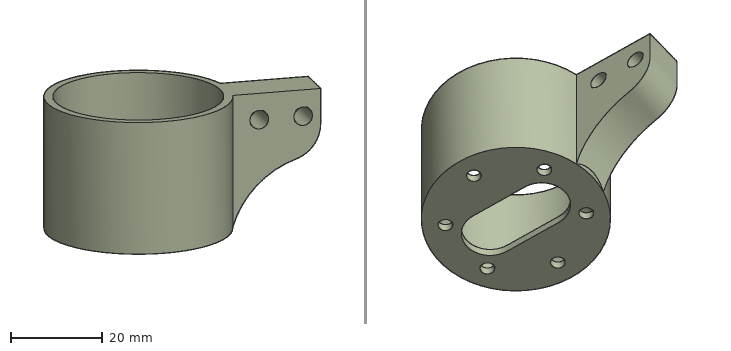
import cadquery as cq
import math

bore_diameter = 37.4
wall_thickness = 2.0
floor_thickness = 2.0
cup_height = 30.0
cup_radius = bore_diameter / 2 + wall_thickness

screw_hole_diameter = 3.2
screw_hole_count = 6
screw_circle_radius = 15.5
slot_width = 12.6
slot_center_distance = 14.0
slot_length = slot_center_distance + slot_width

arm_width = 10.0
arm_reach = 20.0
arm_corner_radius = 8.0
arm_joint_angle = math.radians(17)
arm_hole_diameter = 4.2
arm_hole_end_distance = 4.0
arm_hole_spacing = 10.0
arm_hole_top_distance = 6.0

arm_root_y = math.sqrt(cup_radius**2 - (arm_width / 2) ** 2)
arm_end_y = arm_root_y + arm_reach


def make_arm():
    """Plate whose underside is a rounded corner running tangent into a cove."""
    corner_y = arm_end_y - arm_corner_radius
    corner_z = cup_height - arm_corner_radius

    def corner_point(angle):
        """Point of the convex corner where the underside slope is `angle`."""
        return (
            corner_y + arm_corner_radius * math.sin(angle),
            corner_z - arm_corner_radius * math.cos(angle),
        )

    corner_start = corner_point(math.pi / 2)
    corner_middle = corner_point((math.pi / 2 + arm_joint_angle) / 2)
    corner_end = corner_point(arm_joint_angle)

    return (
        cq.Workplane("YZ")
        .moveTo(0, cup_height)
        .lineTo(arm_end_y, cup_height)
        .lineTo(*corner_start)
        .threePointArc(corner_middle, corner_end)
        .tangentArcPoint((arm_root_y, 0), relative=False)
        .lineTo(0, 0)
        .close()
        .extrude(arm_width / 2, both=True)
    )


def make_bore():
    return (
        cq.Workplane("XY", origin=(0, 0, floor_thickness))
        .circle(bore_diameter / 2)
        .extrude(cup_height - floor_thickness)
    )


def make_floor_openings():
    """Ring of screw holes around a slot that is long in Y."""
    screw_holes = (
        cq.Workplane("XY")
        .polarArray(screw_circle_radius, 0, 360, screw_hole_count)
        .circle(screw_hole_diameter / 2)
        .extrude(floor_thickness)
    )
    slot = cq.Workplane("XY").slot2D(slot_length, slot_width, 90).extrude(floor_thickness)
    return screw_holes.add(slot).combine()


def make_arm_holes():
    """Two cross holes through the arm, parallel to X."""
    outer_y = arm_end_y - arm_hole_end_distance
    hole_z = cup_height - arm_hole_top_distance
    return (
        cq.Workplane("YZ")
        .pushPoints([(outer_y, hole_z), (outer_y - arm_hole_spacing, hole_z)])
        .circle(arm_hole_diameter / 2)
        .extrude(arm_width / 2, both=True)
    )


cup_body = cq.Workplane("XY").circle(cup_radius).extrude(cup_height)

result = (
    cup_body.union(make_arm())
    .cut(make_bore())
    .cut(make_floor_openings())
    .cut(make_arm_holes())
)